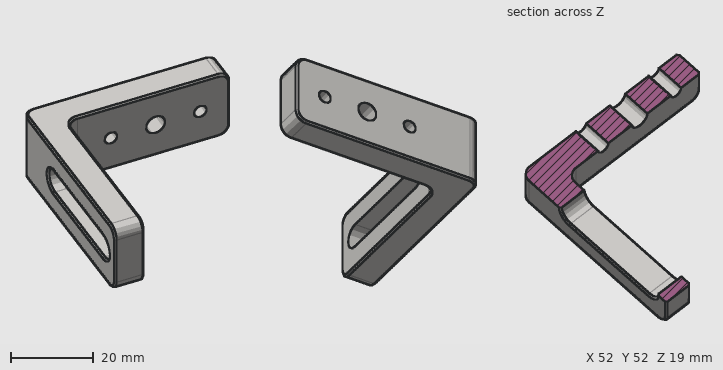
import cadquery as cq

leg_length = 52.0
thickness = 8.0
height = 19.0
mid_height = height / 2

corner_radius = 3.0
edge_chamfer = 0.5

slot_width = 6.5
slot_center_spacing = 28.0
slot_end_offset = 6.5
slot_center_x = leg_length - slot_end_offset - slot_center_spacing / 2

center_hole_diameter = 5.0
side_hole_diameter = 3.3
hole_spacing = 12.0
center_hole_y = 32.0


def make_body():
    """L-shaped body with a rounded bend and rounded free leg corners."""
    body = (
        cq.Workplane("XY")
        .moveTo(0, 0)
        .lineTo(leg_length, 0)
        .lineTo(leg_length, thickness)
        .lineTo(thickness, thickness)
        .lineTo(thickness, leg_length)
        .lineTo(0, leg_length)
        .close()
        .extrude(height)
    )
    for bend_corner in ((0, 0), (thickness, thickness)):
        corner_point = (*bend_corner, mid_height)
        body = body.edges(cq.NearestToPointSelector(corner_point)).fillet(corner_radius)
    body = body.faces(">X").edges("|Y").fillet(corner_radius)
    return body.faces(">Y").edges("|X").fillet(corner_radius)


def chamfer_rims(body):
    """Chamfer the outer and inner rims; each follows its tangent chain from one edge."""
    for face_y in (0, thickness):
        bottom_edge_point = (leg_length / 2, face_y, 0)
        body = body.edges(cq.NearestToPointSelector(bottom_edge_point)).chamfer(edge_chamfer)
    return body


def cut_slot(body):
    """Cut the rounded slot along Y and chamfer its rim on the outside face."""
    slot = (
        cq.Workplane("XZ", origin=(slot_center_x, 0, mid_height))
        .slot2D(slot_center_spacing + slot_width, slot_width)
        .extrude(-thickness)
    )
    lower_rim_point = (slot_center_x, 0, mid_height - slot_width / 2)
    return body.cut(slot).edges(cq.NearestToPointSelector(lower_rim_point)).chamfer(edge_chamfer)


def drill_hole(body, y, diameter):
    """Drill a hole along X through the Y leg at mid height."""
    hole = (
        cq.Workplane("YZ", origin=(0, y, mid_height))
        .circle(diameter / 2)
        .extrude(thickness)
    )
    return body.cut(hole)


result = make_body()
result = chamfer_rims(result)
result = cut_slot(result)
result = drill_hole(result, center_hole_y, center_hole_diameter)
for side in (-1, 1):
    result = drill_hole(result, center_hole_y + side * hole_spacing, side_hole_diameter)